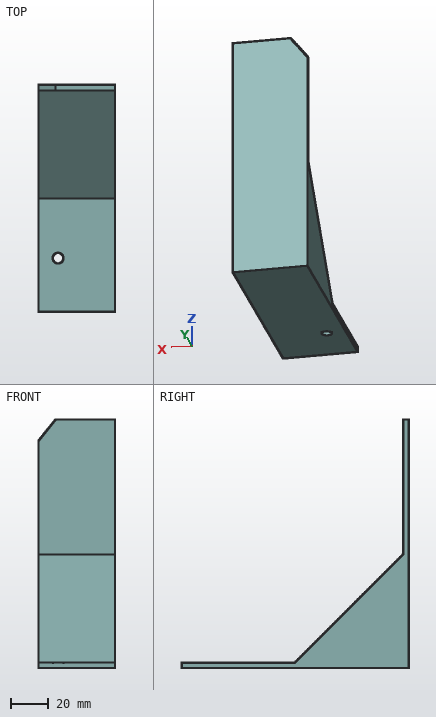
import cadquery as cq

width = 40.3
depth = 119.6
height = 131.0

plate_thickness = 3.0
brace_leg = 57.0

corner_cut_width = 9.0
corner_cut_height = 11.2

hole_diameter = 5.5
hole_from_side = 10.3
hole_from_front = 28.3


def braced_angle():
    """L-shaped bracket with a solid brace; front edge at Y = 0, back face at Y = depth."""
    upright_face = depth - plate_thickness
    profile = [
        (0, 0),
        (depth, 0),
        (depth, height),
        (upright_face, height),
        (upright_face, plate_thickness + brace_leg),
        (upright_face - brace_leg, plate_thickness),
        (0, plate_thickness),
    ]
    return cq.Workplane("YZ").polyline(profile).close().extrude(width)


def corner_cutter():
    """Triangular prism that removes the upper -X corner of the upright leg."""
    triangle = [
        (0, height),
        (corner_cut_width, height),
        (0, height - corner_cut_height),
    ]
    return cq.Workplane("XZ").polyline(triangle).close().extrude(-depth)


def mounting_hole():
    """Vertical cylinder through the base leg."""
    return (
        cq.Workplane("XY")
        .center(hole_from_side, hole_from_front)
        .circle(hole_diameter / 2)
        .extrude(plate_thickness)
    )


result = braced_angle().cut(corner_cutter()).cut(mounting_hole())